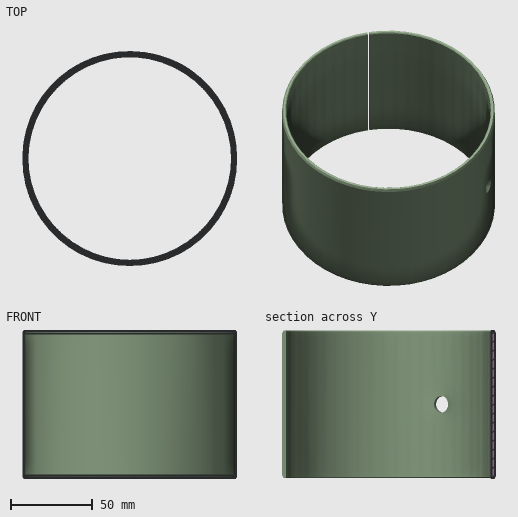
import cadquery as cq

outer_diameter = 130.0
height = 90.0
wall = 2.5
outer_chamfer_height = 1.5
outer_chamfer_depth = 0.8
inner_chamfer = 0.5
slit_width = 1.0
hole_diameter = 10.0
hole_angle = 59.0

outer_radius = outer_diameter / 2
inner_radius = outer_radius - wall
half_height = height / 2


def sleeve():
    """Thin tube, centred on the origin, with its outer and inner rims chamfered."""
    shoulder = half_height - outer_chamfer_height
    rim_radius = outer_radius - outer_chamfer_depth
    mouth_radius = inner_radius + inner_chamfer
    bore_end = half_height - inner_chamfer
    profile = [
        (inner_radius, -bore_end),
        (mouth_radius, -half_height),
        (rim_radius, -half_height),
        (outer_radius, -shoulder),
        (outer_radius, shoulder),
        (rim_radius, half_height),
        (mouth_radius, half_height),
        (inner_radius, bore_end),
    ]
    return cq.Workplane("XZ").polyline(profile).close().revolve(360, (0, 0), (0, 1))


def slit():
    """Full-height cut through the wall on the -X side, with one face on the XZ plane."""
    cutter = cq.Workplane("XY").box(outer_radius, slit_width, height)
    return cutter.translate((-outer_radius, slit_width / 2, 0))


def radial_hole():
    """Drill through one wall at mid height, pointing away from the axis."""
    drill = cq.Workplane("YZ").circle(hole_diameter / 2).extrude(outer_diameter)
    return drill.rotate((0, 0, 0), (0, 0, 1), hole_angle)


result = sleeve().cut(slit()).cut(radial_hole())